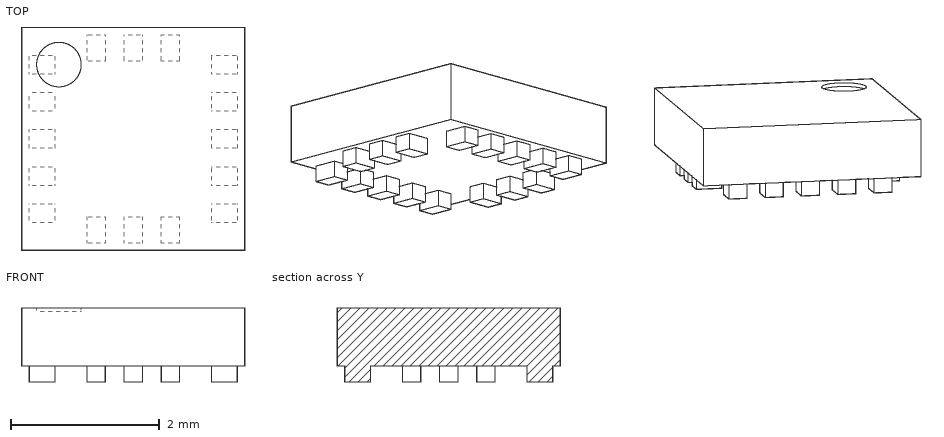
import cadquery as cq

body_side = 3.0
total_height = 1.0
pad_height = 0.215
body_height = total_height - pad_height

pad_pitch = body_side / 6
pad_width = pad_pitch / 2
pad_length = 0.35
pad_edge_gap = 0.1
pads_per_x_side = 5
pads_per_y_side = 3

mark_diameter = 0.6
mark_depth = 0.05
mark_offset = body_side / 3


def row_positions(count):
    """Evenly pitched positions centred on zero."""
    return [(i - (count - 1) / 2) * pad_pitch for i in range(count)]


def make_pads(centers, size_x, size_y):
    """Rectangular pads standing on the plane Z = 0."""
    return (
        cq.Workplane("XY")
        .pushPoints(centers)
        .rect(size_x, size_y)
        .extrude(pad_height)
    )


body = (
    cq.Workplane("XY")
    .workplane(offset=pad_height)
    .rect(body_side, body_side)
    .extrude(body_height)
)

mark = (
    cq.Workplane("XY")
    .workplane(offset=total_height - mark_depth)
    .center(-mark_offset, mark_offset)
    .circle(mark_diameter / 2)
    .extrude(mark_depth)
)

row_offset = body_side / 2 - pad_edge_gap - pad_length / 2
x_side_centers = [(side * row_offset, y) for side in (-1, 1) for y in row_positions(pads_per_x_side)]
y_side_centers = [(x, side * row_offset) for side in (-1, 1) for x in row_positions(pads_per_y_side)]

result = (
    body.cut(mark)
    .union(make_pads(x_side_centers, pad_length, pad_width))
    .union(make_pads(y_side_centers, pad_width, pad_length))
)